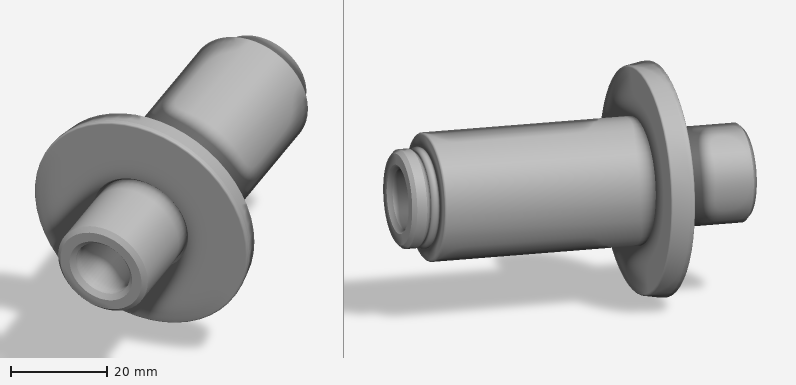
import cadquery as cq

LENGTH = 75.6
FRONT = -LENGTH / 2
BACK = LENGTH / 2

FULL_TURN = 360
OUTERMOST = -1

TUBE_RADIUS = 10.4
BORE_RADIUS = 6.3
TUBE_CHAMFER = 1.0

RING_RADIUS = 10.65
RING_SECTION_RADIUS = 1.0
RING_CENTRE_RADIUS = RING_RADIUS - RING_SECTION_RADIUS
GROOVE_FLOOR_RADIUS = RING_RADIUS - 2 * RING_SECTION_RADIUS
COLLAR_WIDTH = 3.0
COLLAR_CHAMFER = 0.8
GROOVE_LIP_RADIUS = 9.7

FLANGE_DIAMETER = 49.5
FLANGE_RADIUS = FLANGE_DIAMETER / 2
FLANGE_BACK_RADIUS = 24.05
NOSE_LENGTH = 18.5
FLANGE_FRONT = FRONT + NOSE_LENGTH
FLANGE_THICKNESS = 5.0
FLANGE_BACK = FLANGE_FRONT + FLANGE_THICKNESS
FLANGE_RIM_WIDTH = 1.05
FLANGE_FILLET = 0.4
FLANGE_HOLE_CHAMFER = 0.6

SLEEVE_RADIUS = 13.5
SHOULDER_SETBACK = 6.0
SLEEVE_FILLET = 0.45
SLEEVE_BACK = BACK - SHOULDER_SETBACK

GROOVE_FRONT = SLEEVE_BACK
GROOVE_BACK = GROOVE_FRONT + 2 * RING_SECTION_RADIUS
RING_CENTRE = GROOVE_FRONT + RING_SECTION_RADIUS


def turn(profile):
    """Revolve a closed (radius, Y) profile a full turn about the Y axis."""
    return profile.revolve(FULL_TURN, (0, 0, 0), (0, 1, 0))


def make_tube():
    """Bored tube with chamfered ends and an O-ring groove near its back end."""
    return turn(
        cq.Workplane("XY").polyline([
            (BORE_RADIUS + TUBE_CHAMFER, FRONT),
            (TUBE_RADIUS - TUBE_CHAMFER, FRONT),
            (TUBE_RADIUS, FRONT + TUBE_CHAMFER),
            (TUBE_RADIUS, GROOVE_FRONT),
            (GROOVE_FLOOR_RADIUS, GROOVE_FRONT),
            (GROOVE_FLOOR_RADIUS, GROOVE_BACK),
            (GROOVE_LIP_RADIUS, GROOVE_BACK),
            (TUBE_RADIUS, BACK - COLLAR_WIDTH),
            (TUBE_RADIUS, BACK - COLLAR_CHAMFER),
            (TUBE_RADIUS - COLLAR_CHAMFER, BACK),
            (BORE_RADIUS + TUBE_CHAMFER, BACK),
            (BORE_RADIUS, BACK - TUBE_CHAMFER),
            (BORE_RADIUS, FRONT + TUBE_CHAMFER),
        ]).close()
    )


def make_ring():
    """O-ring seated in the tube groove, against the back end of the sleeve."""
    section = cq.Workplane("XY").moveTo(RING_CENTRE_RADIUS, RING_CENTRE).circle(RING_SECTION_RADIUS)
    return turn(section)


def make_sleeve():
    """Plain sleeve on the tube, from the flange to the O-ring, rounded at its back edge."""
    sleeve = turn(
        cq.Workplane("XY").polyline([
            (TUBE_RADIUS, FLANGE_BACK),
            (SLEEVE_RADIUS, FLANGE_BACK),
            (SLEEVE_RADIUS, SLEEVE_BACK),
            (TUBE_RADIUS, SLEEVE_BACK),
        ]).close()
    )
    return sleeve.faces(">Y").edges(cq.selectors.RadiusNthSelector(OUTERMOST)).fillet(SLEEVE_FILLET)


def make_flange():
    """Disc on the tube with a tapered edge, rounded corners and a countersunk front hole."""
    flange = turn(
        cq.Workplane("XY").polyline([
            (TUBE_RADIUS + FLANGE_HOLE_CHAMFER, FLANGE_FRONT),
            (FLANGE_RADIUS, FLANGE_FRONT),
            (FLANGE_RADIUS, FLANGE_FRONT + FLANGE_RIM_WIDTH),
            (FLANGE_BACK_RADIUS, FLANGE_BACK),
            (TUBE_RADIUS, FLANGE_BACK),
            (TUBE_RADIUS, FLANGE_FRONT + FLANGE_HOLE_CHAMFER),
        ]).close()
    )
    for end_face in ("<Y", ">Y"):
        flange = flange.faces(end_face).edges(cq.selectors.RadiusNthSelector(OUTERMOST)).fillet(FLANGE_FILLET)
    return flange


tube = make_tube()
o_ring = make_ring()
sleeve = make_sleeve()
flange = make_flange()

result = cq.Compound.makeCompound([tube.val(), o_ring.val(), sleeve.val(), flange.val()])